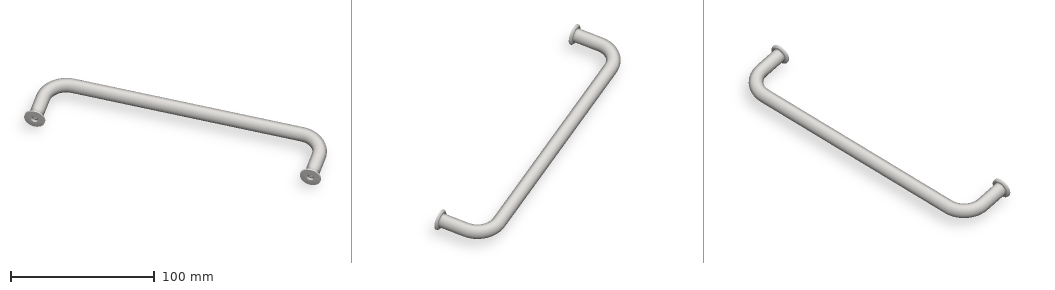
import cadquery as cq
import math

overall_length = 215.0
overall_depth = 43.0

flange_diameter = 15.0
flange_thickness = 2.0
flange_chamfer = 0.9
flange_hole_diameter = 5.4

rod_diameter = 10.0
bend_radius = 17.0
screw_hole_diameter = 4.0
screw_hole_depth = 10.8
drill_tip_angle = 120.0

leg_x = (overall_length - flange_diameter) / 2
rod_axis_y = overall_depth - rod_diameter / 2
bend_start_y = rod_axis_y - bend_radius
bend_end_x = leg_x - bend_radius
bend_mid_offset = bend_radius * math.sin(math.pi / 4)
bend_mid_x = bend_end_x + bend_mid_offset
bend_mid_y = bend_start_y + bend_mid_offset


def make_screw_hole(x):
    """Blind hole with a conical drill tip, entering a leg end along +Y."""
    radius = screw_hole_diameter / 2
    tip_length = radius / math.tan(math.radians(drill_tip_angle / 2))
    half_profile = (
        cq.Workplane("XY")
        .moveTo(0, 0)
        .lineTo(radius, 0)
        .lineTo(radius, screw_hole_depth)
        .lineTo(0, screw_hole_depth + tip_length)
        .close()
    )
    hole = half_profile.revolve(360, (0, 0, 0), (0, 1, 0))
    return hole.translate((x, flange_thickness, 0))


def make_handle():
    """Round rod swept along a U path, with a screw hole in each leg end."""
    path = (
        cq.Workplane("XY")
        .moveTo(-leg_x, flange_thickness)
        .lineTo(-leg_x, bend_start_y)
        .threePointArc((-bend_mid_x, bend_mid_y), (-bend_end_x, rod_axis_y))
        .lineTo(bend_end_x, rod_axis_y)
        .threePointArc((bend_mid_x, bend_mid_y), (leg_x, bend_start_y))
        .lineTo(leg_x, flange_thickness)
    )
    rod_section = cq.Workplane("XZ", origin=(-leg_x, flange_thickness, 0)).circle(rod_diameter / 2)
    rod = rod_section.sweep(path)
    for side in (-1, 1):
        rod = rod.cut(make_screw_hole(side * leg_x))
    return rod


def make_flange(x):
    """Disc with a through hole and a chamfered edge on the rod side."""
    disc = cq.Workplane("XZ", origin=(x, 0, 0)).circle(flange_diameter / 2).extrude(-flange_thickness)
    disc = disc.faces(">Y").edges().chamfer(flange_chamfer)
    hole = cq.Workplane("XZ", origin=(x, 0, 0)).circle(flange_hole_diameter / 2).extrude(-flange_thickness)
    return disc.cut(hole)


handle = make_handle()
flanges = [make_flange(side * leg_x) for side in (-1, 1)]

result = cq.Compound.makeCompound([handle.val(), *[flange.val() for flange in flanges]])